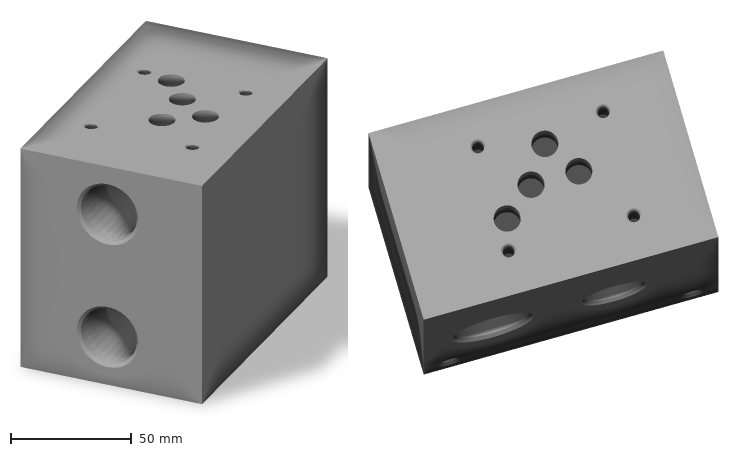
import cadquery as cq
import math

BLOCK_X = 82.55
BLOCK_Y = 127.0
BLOCK_Z = 101.6
LEFT_X = -BLOCK_X / 2
FRONT_Y = -BLOCK_Y / 2
BACK_Y = BLOCK_Y / 2

DRILL_POINT_ANGLE = 118.0

SMALL_PORT = (28.0, 25.4, 23.9)
LARGE_PORT = (35.0, 32.0, 30.1)
PORT_TAPER = 1 / 16

FRONT_PORT_X = LEFT_X + 39.69
FRONT_PORT_SPACING = 57.15

PORT_P_Y = FRONT_Y + 45.05
PORT_T_Y = BACK_Y - 29.8

MOUNT_HOLE_DIA = 7.8
MOUNT_MOUTH_DIA = 9.6
MOUNT_HOLE_DEPTH = 19.0
MOUNT_END_MARGIN = 11.1
MOUNT_HOLE_Z = 9.9

BOLT_SPACING_X = 46.0
BOLT_SPACING_Y = 54.0
BOLT_HOLE_DIA = 4.98
BOLT_MOUTH_DIA = 6.35
BOLT_HOLE_DEPTH = 15.0
PATTERN_CENTER_Y = -5.4
FLOW_PORT_DIA = 11.2
FLOW_PORT_DEPTH = 12.7
FLOW_PORT_OFFSETS = [
    (32.5, 3.2),
    (21.4, 16.7),
    (6.3, 27.0),
    (21.4, 37.3),
]

INTO_BACK = cq.Vector(0, 1, 0)
INTO_RIGHT = cq.Vector(1, 0, 0)
DOWN = cq.Vector(0, 0, -1)


def point_length(diameter):
    """Length of the conical tip left by a drill."""
    return diameter / 2 / math.tan(math.radians(DRILL_POINT_ANGLE / 2))


def revolved_cutter(profile, mouth, direction):
    """Turn a (radius, depth) profile about its axis and set it at the hole mouth."""
    turned = cq.Workplane("XZ").polyline(profile).close().revolve(360, (0, 0), (0, 1))
    plane = cq.Plane(origin=mouth, normal=direction)
    return turned.val().moved(plane.location)


def chamfered_hole(mouth_dia, hole_dia, depth, mouth, direction):
    """Blind drilled hole with a 45 degree chamfer at its mouth."""
    radius = hole_dia / 2
    chamfer = (mouth_dia - hole_dia) / 2
    profile = [
        (0, 0),
        (mouth_dia / 2, 0),
        (radius, chamfer),
        (radius, depth),
        (0, depth + point_length(hole_dia)),
    ]
    return revolved_cutter(profile, mouth, direction)


def work_port(sizes, mouth, direction):
    """Taper-threaded port: 45 degree mouth chamfer, tapered bore and drilled end."""
    mouth_dia, bore_dia, end_dia = sizes
    chamfer = (mouth_dia - bore_dia) / 2
    bore_end = chamfer + (bore_dia - end_dia) / PORT_TAPER
    profile = [
        (0, 0),
        (mouth_dia / 2, 0),
        (bore_dia / 2, chamfer),
        (end_dia / 2, bore_end),
        (0, bore_end + point_length(end_dia)),
    ]
    return revolved_cutter(profile, mouth, direction)


def cut_front_ports(body):
    for side in (-1, 1):
        port_z = BLOCK_Z / 2 + side * FRONT_PORT_SPACING / 2
        body = body.cut(work_port(SMALL_PORT, (FRONT_PORT_X, FRONT_Y, port_z), INTO_BACK))
    return body


def cut_left_ports(body):
    for sizes, port_y in ((SMALL_PORT, PORT_P_Y), (LARGE_PORT, PORT_T_Y)):
        body = body.cut(work_port(sizes, (LEFT_X, port_y, BLOCK_Z / 2), INTO_RIGHT))
    return body


def cut_mounting_holes(body):
    for hole_y in (FRONT_Y + MOUNT_END_MARGIN, BACK_Y - MOUNT_END_MARGIN):
        mouth = (LEFT_X, hole_y, MOUNT_HOLE_Z)
        hole = chamfered_hole(MOUNT_MOUTH_DIA, MOUNT_HOLE_DIA, MOUNT_HOLE_DEPTH, mouth, INTO_RIGHT)
        body = body.cut(hole)
    return body


def cut_bolt_holes(body):
    for side_x in (-1, 1):
        for side_y in (-1, 1):
            hole_x = side_x * BOLT_SPACING_X / 2
            hole_y = PATTERN_CENTER_Y + side_y * BOLT_SPACING_Y / 2
            mouth = (hole_x, hole_y, BLOCK_Z)
            body = body.cut(chamfered_hole(BOLT_MOUTH_DIA, BOLT_HOLE_DIA, BOLT_HOLE_DEPTH, mouth, DOWN))
    return body


def cut_flow_ports(body):
    corner_x = BOLT_SPACING_X / 2
    corner_y = PATTERN_CENTER_Y + BOLT_SPACING_Y / 2
    centers = [(corner_x - dx, corner_y - dy) for dx, dy in FLOW_PORT_OFFSETS]
    floor = cq.Workplane("XY").workplane(offset=BLOCK_Z - FLOW_PORT_DEPTH)
    return body.cut(floor.pushPoints(centers).circle(FLOW_PORT_DIA / 2).extrude(FLOW_PORT_DEPTH))


block = cq.Workplane("XY").box(BLOCK_X, BLOCK_Y, BLOCK_Z, centered=(True, True, False))
block = cut_front_ports(block)
block = cut_left_ports(block)
block = cut_mounting_holes(block)
block = cut_bolt_holes(block)
result = cut_flow_ports(block)